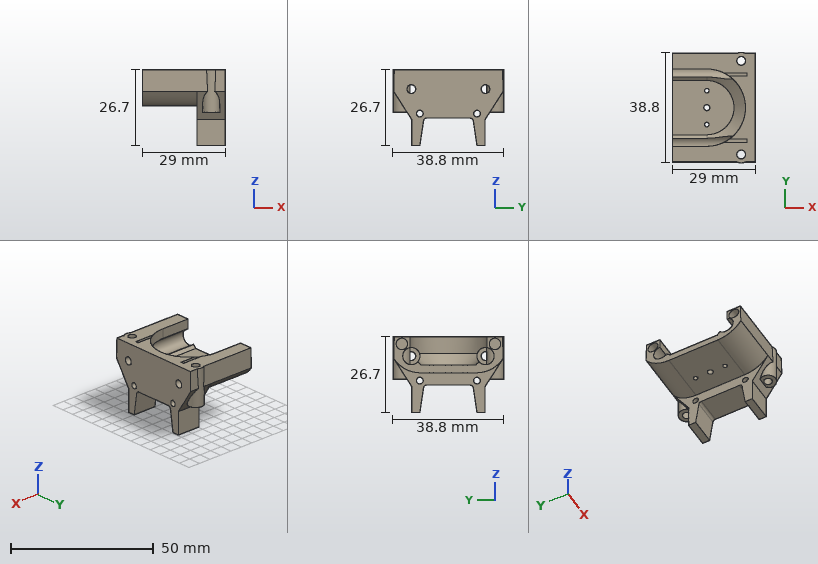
import cadquery as cq

length = 29.0
half_width = 19.4
height = 26.65

top_half_width = 18.93
side_bottom_half_width = 19.12
side_depth = 7.68
body_depth = 12.7
belly_half_width = 9.85
belly_run = side_bottom_half_width - belly_half_width
belly_rise = body_depth - side_depth
belly_radius = (belly_run**2 + belly_rise**2) / (2 * belly_rise)

bracket_start = 19.1
leg_outer_half_width = 12.85
leg_shoulder_depth = 17.55
foot_inner_half_width = 9.95
arch_half_width = 8.55
arch_depth = 17.03
arch_fillet = 1.0
bracket_hole_diameter = 2.25
bracket_hole_y = 10.0
bracket_hole_depth = 15.4

boss_diameter = 6.0
boss_bottom_depth = 15.0
boss_x = 24.05
boss_y = half_width - boss_diameter / 2
screw_hole_diameter = 3.0

pocket_radius = 13.55
pocket_center_x = 12.02
pocket_wall_depth = 5.97
floor_depth = 10.0
floor_hole_diameter = 2.0
side_floor_hole_diameter = 1.5
side_floor_hole_y = 5.95

bore_diameter = 6.0
bore_y = 13.0
bore_axis_depth = 6.83
bore_end = 26.05
bore_exit_diameter = 3.0

front_hole_diameter = 4.0
front_hole_y = 16.3
front_hole_axis_depth = 2.55
front_hole_length = 9.7

slot_width = 1.15
slot_y = 11.65
slot_start = pocket_center_x
slot_end = bore_end
slot_depth = 0.08

SIDES = (-1, 1)


def rod_x(diameter, y, z, start, end):
    """Cylinder along X."""
    return cq.Workplane("YZ", origin=(start, y, z)).circle(diameter / 2).extrude(end - start)


def rod_z(diameter, x, y, depth):
    """Cylinder hanging down from the top face."""
    return cq.Workplane("XY", origin=(x, y, 0)).circle(diameter / 2).extrude(-depth)


def make_body():
    chord_mid_y = (belly_half_width + side_bottom_half_width) / 2
    chord_mid_z = -(body_depth + side_depth) / 2
    center = cq.Vector(belly_half_width, belly_radius - body_depth, 0)
    outward = (cq.Vector(chord_mid_y, chord_mid_z, 0) - center).normalized()
    arc_mid = center + outward * belly_radius
    return (
        cq.Workplane("YZ")
        .moveTo(-top_half_width, 0)
        .lineTo(top_half_width, 0)
        .lineTo(side_bottom_half_width, -side_depth)
        .threePointArc((arc_mid.x, arc_mid.y), (belly_half_width, -body_depth))
        .lineTo(-belly_half_width, -body_depth)
        .threePointArc((-arc_mid.x, arc_mid.y), (-side_bottom_half_width, -side_depth))
        .close()
        .extrude(length)
    )


def make_bracket():
    half_outline = [
        (side_bottom_half_width, -side_depth),
        (leg_outer_half_width, -leg_shoulder_depth),
        (leg_outer_half_width, -height),
        (foot_inner_half_width, -height),
        (arch_half_width, -arch_depth),
    ]
    mirrored = [(-y, z) for y, z in reversed(half_outline)]
    bracket = (
        cq.Workplane("YZ", origin=(bracket_start, 0, 0))
        .polyline(half_outline + mirrored)
        .close()
        .extrude(length - bracket_start)
    )
    corner_margin = 0.4
    arch_corners = cq.selectors.BoxSelector(
        (bracket_start, -arch_half_width - corner_margin, -arch_depth - corner_margin),
        (length, arch_half_width + corner_margin, -arch_depth + corner_margin),
    )
    return bracket.edges("|X").edges(arch_corners).fillet(arch_fillet)


def trough(radius, bottom_depth, top_depth, taper=0):
    """Round-ended trough, open through the front face, narrowing downward by taper."""
    front = -pocket_radius
    return (
        cq.Workplane("XY", origin=(0, 0, -top_depth))
        .moveTo(front, -radius)
        .lineTo(pocket_center_x, -radius)
        .threePointArc((pocket_center_x + radius, 0), (pocket_center_x, radius))
        .lineTo(front, radius)
        .close()
        .extrude(top_depth - bottom_depth, taper=taper)
    )


def make_pocket():
    upper = trough(pocket_radius, pocket_wall_depth, 0)
    lower = trough(pocket_radius, floor_depth, pocket_wall_depth, taper=45)
    return upper.union(lower)


def make_slot(side):
    blank = cq.Workplane("XY").box(slot_end - slot_start, slot_width, slot_depth, centered=(False, True, False))
    return blank.translate((slot_start, side * slot_y, -slot_depth))


def make_side_holes(side):
    """All holes and slots on one side, except the long bore."""
    screw_hole = rod_z(screw_hole_diameter, boss_x, side * boss_y, boss_bottom_depth)
    floor_hole = rod_z(side_floor_hole_diameter, pocket_center_x, side * side_floor_hole_y, body_depth)
    front_hole = rod_x(front_hole_diameter, side * front_hole_y, -front_hole_axis_depth, 0, front_hole_length)
    bracket_hole = rod_x(
        bracket_hole_diameter, side * bracket_hole_y, -bracket_hole_depth, bracket_start, length
    )
    return [screw_hole, floor_hole, front_hole, bracket_hole, make_slot(side)]


result = make_body().union(make_bracket())

for side in SIDES:
    result = result.cut(rod_x(bore_diameter, side * bore_y, -bore_axis_depth, 0, bore_end))
    result = result.cut(rod_x(bore_exit_diameter, side * bore_y, -bore_axis_depth, bore_end, length))
    result = result.union(rod_z(boss_diameter, boss_x, side * boss_y, boss_bottom_depth))

result = result.cut(make_pocket())
result = result.cut(rod_z(floor_hole_diameter, pocket_center_x, 0, body_depth))

for side in SIDES:
    for hole in make_side_holes(side):
        result = result.cut(hole)